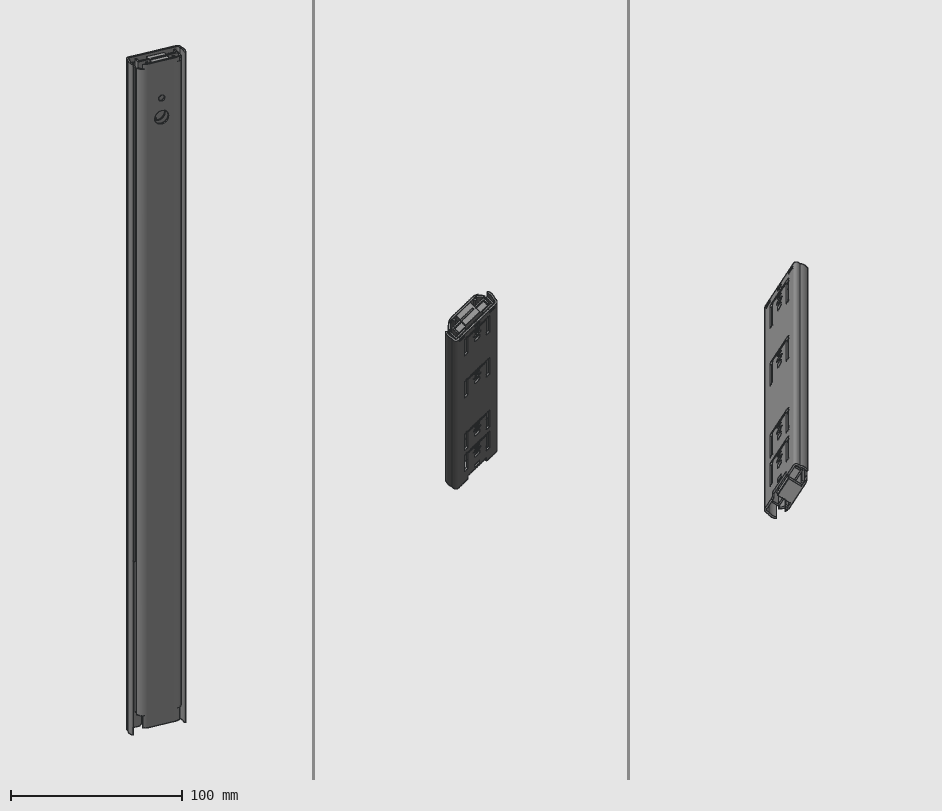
import cadquery as cq
import math

LENGTH = 450.0
DEPTH = 12.7
HALF_WIDTH = 17.99
SHEET = 1.2
SIDES = (1, -1)
OVERCUT = 1.0

cabinet_corner = 2.1
cabinet_straight_end = 3.2
cabinet_tip = 8.9
cabinet_tip_fillet = 0.5
bulge_peak = (cabinet_straight_end + cabinet_tip) / 2
bulge_rise = 0.6
cabinet_shoulder = HALF_WIDTH - bulge_rise

system_pitch = 32.0
top_hole_z = 425.0
group_steps = (0, 4, 9, 11)
group_heights = [top_hole_z - step * system_pitch for step in group_steps]
small_hole_diameter = 4.0
large_hole_diameter = 6.0
large_hole_drop = 10.0
slot_drop = 23.0
slot_width = 4.1
slot_length = 9.5
tongue_top_rise = 9.5
tongue_length = 50.0
tongue_corner_chamfer = 1.4
tongue_outer_half = 10.2
tongue_side_gap = 2.75
tongue_top_gap = 3.6
hook_half = 4.75
hook_overlap = 1.0
hook_clearance = 0.1
hook_bite = 0.5
hook_depth = 0.6
end_hole_z = 443.8
end_hole_length = 5.4
window_inner = 10.2
window_outer = 14.3
window_bottom = 442.5
window_top = 446.6
rectangle_z = 19.0
rectangle_width = 4.0
rectangle_length = 6.8
mouth_half = 7.45
mouth_depth = 10.2
mouth_chamfer = 1.4

middle_web_front = 7.0
middle_web_back = middle_web_front + 1.0
middle_half = 13.0
middle_edge = 3.5
middle_bottom = 12.0

drawer_bottom = 4.8
drawer_edge = 8.6
drawer_flat_half = 8.5
drawer_bend = 6.5
drawer_web_inner = DEPTH - SHEET
rear_hole_z = 412.2
rear_hole_diameter = 9.0
notch_back = 11.7
lower_notch_top = 12.9
upper_notch_bottom = 446.6
tab_half = 6.0
tab_top = 9.6
tab_slope_bottom = 7.5
tab_front = 2.0
tab_slope_run = 0.8

cage_sheet = 1.0
cage_front = 1.9
cage_inner = 7.0
cage_outer = 15.4
cage_back = 7.5
outer_cage_bottom = 115.0
outer_cage_top = 447.0
inner_cage_near = 8.0
inner_cage_far = 9.3
inner_cage_front = 9.8
inner_cage_back = drawer_web_inner - 0.1

stop_front = 3.5
stop_low_y = -5.5
stop_high_y = 6.0
stop_neck_width = 1.4
stop_bottom = 436.0
stop_top = LENGTH - 0.5
stop_wing_half = 11.9
stop_wing_top = 446.0


def block(x_range, y_range, z_range):
    """Box between the given pairs of limits."""
    lows = [min(r) for r in (x_range, y_range, z_range)]
    sizes = [abs(r[1] - r[0]) for r in (x_range, y_range, z_range)]
    return cq.Workplane("XY").box(*sizes, centered=False).translate(tuple(lows))


def side_block(x_range, y_range, z_range, side):
    """Box whose Y limits are mirrored for the negative side."""
    return block(x_range, [side * y for y in y_range], z_range)


def cross_hole(diameter, z):
    """Round cutter along X through the full thickness."""
    start = cq.Workplane("YZ").workplane(offset=-OVERCUT).center(0, z)
    return start.circle(diameter / 2).extrude(DEPTH + 2 * OVERCUT)


def web_slot(length, width, z):
    """Upright round-ended cutter through the cabinet web."""
    start = cq.Workplane("YZ").workplane(offset=-OVERCUT).center(0, z)
    return start.slot2D(length, width, 90).extrude(SHEET + 2 * OVERCUT)


web_cut = (-OVERCUT, SHEET + OVERCUT)


def cabinet_outline(inset):
    """Channel outline moved inwards by inset; the open side faces +X."""
    radius = cabinet_corner - inset
    shoulder = cabinet_shoulder - inset
    peak = HALF_WIDTH - inset
    bend_shift = radius * (1 - math.sqrt(0.5))
    return (
        cq.Workplane("XY")
        .moveTo(cabinet_tip, -shoulder)
        .threePointArc((bulge_peak, -peak), (cabinet_straight_end, -shoulder))
        .lineTo(cabinet_corner, -shoulder)
        .threePointArc((inset + bend_shift, bend_shift - shoulder), (inset, radius - shoulder))
        .lineTo(inset, shoulder - radius)
        .threePointArc((inset + bend_shift, shoulder - bend_shift), (cabinet_corner, shoulder))
        .lineTo(cabinet_straight_end, shoulder)
        .threePointArc((bulge_peak, peak), (cabinet_tip, shoulder))
        .close()
        .extrude(LENGTH)
    )


def tongue_cutter(hole_z):
    """Inverted U cut that frees a mounting tongue around one hole group."""
    top = hole_z + tongue_top_rise
    bottom = top - tongue_length
    inner_half = tongue_outer_half - tongue_side_gap
    frame = block(web_cut, (-tongue_outer_half, tongue_outer_half), (bottom, top))
    frame = frame.edges("|X and >Z").chamfer(tongue_corner_chamfer)
    return frame.cut(block(web_cut, (-inner_half, inner_half), (bottom, top - tongue_top_gap)))


def tongue_hook(hole_z):
    """Lip at the tongue's upper end, set back towards the middle rail."""
    top = hole_z + tongue_top_rise
    heights = (top - tongue_top_gap - hook_overlap, top - hook_clearance)
    return block((SHEET - hook_bite, SHEET + hook_depth), (-hook_half, hook_half), heights)


def mouth_cutter():
    """Notch at the lower end, widened by a chamfer at the end face."""
    flared_half = mouth_half + mouth_chamfer
    return (
        cq.Workplane("YZ")
        .workplane(offset=-OVERCUT)
        .polyline([
            (-flared_half, 0),
            (-mouth_half, mouth_chamfer),
            (-mouth_half, mouth_depth),
            (mouth_half, mouth_depth),
            (mouth_half, mouth_chamfer),
            (flared_half, 0),
        ])
        .close()
        .extrude(SHEET + 2 * OVERCUT)
    )


cabinet_rail = cabinet_outline(0).cut(cabinet_outline(SHEET))
cabinet_rail = cabinet_rail.faces(">X").edges("|Z").fillet(cabinet_tip_fillet)
for group_z in group_heights:
    cabinet_rail = (
        cabinet_rail.cut(tongue_cutter(group_z))
        .cut(cross_hole(small_hole_diameter, group_z))
        .cut(cross_hole(large_hole_diameter, group_z - large_hole_drop))
        .cut(web_slot(slot_length, slot_width, group_z - slot_drop))
        .union(tongue_hook(group_z))
    )
cabinet_rail = cabinet_rail.cut(web_slot(end_hole_length, slot_width, end_hole_z))
for side in SIDES:
    window = side_block(web_cut, (window_inner, window_outer), (window_bottom, window_top), side)
    cabinet_rail = cabinet_rail.cut(window)
rectangle_y = (-rectangle_width / 2, rectangle_width / 2)
rectangle_heights = (rectangle_z - rectangle_length / 2, rectangle_z + rectangle_length / 2)
cabinet_rail = cabinet_rail.cut(block(web_cut, rectangle_y, rectangle_heights))
cabinet_rail = cabinet_rail.cut(mouth_cutter())

middle_thickness = middle_web_back - middle_web_front
middle_cavity_half = middle_half - middle_thickness
middle_span = (middle_bottom, LENGTH)
neck_y = (stop_low_y, stop_low_y + stop_neck_width)
middle_rail = (
    block((middle_edge, middle_web_back), (-middle_half, middle_half), middle_span)
    .cut(block((middle_edge, middle_web_front), (-middle_cavity_half, middle_cavity_half), middle_span))
    .cut(cross_hole(small_hole_diameter, top_hole_z))
    .cut(cross_hole(rear_hole_diameter, rear_hole_z))
    .cut(block((middle_web_front, middle_web_back), neck_y, (stop_bottom, LENGTH)))
)


def drawer_outline(inset):
    """Shallow channel outline with swept shoulders; the open side faces -X."""
    radius = drawer_bend - inset
    centre_x = DEPTH - drawer_bend
    edge_y = drawer_flat_half + math.sqrt(radius**2 - (drawer_edge - centre_x) ** 2)
    edge_angle = math.acos((drawer_edge - centre_x) / radius)
    mid_x = centre_x + radius * math.cos(edge_angle / 2)
    mid_y = drawer_flat_half + radius * math.sin(edge_angle / 2)
    return (
        cq.Workplane("XY")
        .workplane(offset=drawer_bottom)
        .moveTo(drawer_edge, -edge_y)
        .threePointArc((mid_x, -mid_y), (DEPTH - inset, -drawer_flat_half))
        .lineTo(DEPTH - inset, drawer_flat_half)
        .threePointArc((mid_x, mid_y), (drawer_edge, edge_y))
        .close()
        .extrude(LENGTH - drawer_bottom)
    )


drawer_rail = (
    drawer_outline(0)
    .cut(drawer_outline(SHEET))
    .cut(cross_hole(small_hole_diameter, top_hole_z))
    .cut(cross_hole(rear_hole_diameter, rear_hole_z))
)
for side in SIDES:
    for notch_span in ((drawer_bottom, lower_notch_top), (upper_notch_bottom, LENGTH)):
        notch = side_block((drawer_edge, notch_back), (inner_cage_far, HALF_WIDTH), notch_span, side)
        drawer_rail = drawer_rail.cut(notch)
tab_face = tab_front + tab_slope_run
end_tab = (
    cq.Workplane("XZ")
    .workplane(offset=-tab_half)
    .polyline([
        (tab_face, drawer_bottom),
        (tab_face, tab_slope_bottom),
        (tab_front, tab_top),
        (DEPTH, tab_top),
        (DEPTH, drawer_bottom),
    ])
    .close()
    .extrude(2 * tab_half)
)
drawer_rail = drawer_rail.union(end_tab)


def outer_cage(side):
    """Angle strip between the cabinet rail and the middle rail."""
    span = (outer_cage_bottom, outer_cage_top)
    leaf = side_block((cage_front, cage_front + cage_sheet), (cage_inner, cage_outer), span, side)
    leg = side_block((cage_front, cage_back), (cage_outer - cage_sheet, cage_outer), span, side)
    return leaf.union(leg)


def inner_cage(side):
    """Flat strip between the middle rail and the drawer rail."""
    return side_block(
        (inner_cage_front, inner_cage_back),
        (inner_cage_near, inner_cage_far),
        (drawer_bottom, LENGTH),
        side,
    )


outer_cages = [outer_cage(side) for side in SIDES]
inner_cages = [inner_cage(side) for side in SIDES]

wing_y = (-stop_wing_half, stop_wing_half)
stop_y = (stop_low_y, stop_high_y)
stop_span = (stop_bottom, stop_top)
end_stop = (
    block((stop_front, middle_web_front), stop_y, stop_span)
    .union(block((stop_front, middle_web_front), wing_y, (stop_bottom, stop_wing_top)))
    .union(block((middle_web_front, middle_web_back), neck_y, stop_span))
    .union(block((middle_web_back, drawer_web_inner), stop_y, stop_span))
)

result = cq.Compound.makeCompound([
    cabinet_rail.val(),
    middle_rail.val(),
    drawer_rail.val(),
    *[cage.val() for cage in outer_cages],
    *[cage.val() for cage in inner_cages],
    end_stop.val(),
])